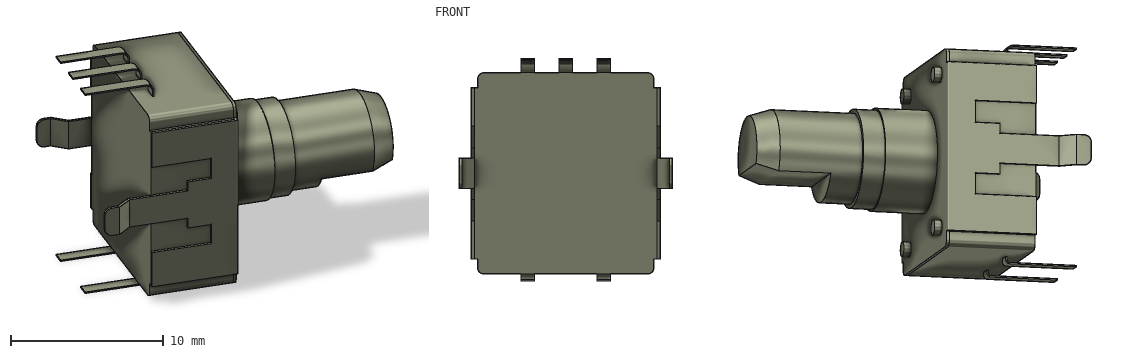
import cadquery as cq
import math


overall_length = 21.5

block_width = 12.0
end_width = 11.57
block_height = 13.2
block_corner_radius = 0.4
front_y = 6.0

sheet = 0.2
bend_radius = 0.099
strap_height = 11.25
strap_width = block_width + 2 * sheet
window_height = 6.24
window_depth = 4.15
window_root_top = 1.65
window_root_bottom = 1.72
root_depth = 2.5
leg_width = 2.0
leg_span = 14.0
leg_bend_start_y = -1.53
leg_bend_end_y = -2.5
leg_tip_radius = 0.5

base_radius = 3.4
base_end_y = 9.5
collar_radius = 3.27
collar_end_y = 10.96
shaft_radius = 2.99
shaft_end_y = 18.0
flat_start_y = 13.0
flat_offset = 1.5
tip_length = 1.46
tip_inset = 0.47

post_radius = 0.5
post_spacing_x = 8.21
post_spacing_z = 10.2
post_end_y = 6.5

pin_end_y = shaft_end_y - overall_length
pin_width = 0.9
pin_thickness = 0.099
pin_pitch = 2.5
pin_embedding = 0.22
pin_front_y = 1.27
upper_pin_top = 7.52
lower_pin_bottom = 7.07
upper_pin_bend = 0.55
lower_pin_bend = 0.25

plate_back_y = front_y - sheet


def bar(x_size, z_size, y_start, y_end, z_center=0):
    """Box centred on x = 0 that runs from y_start to y_end."""
    return (
        cq.Workplane("XY")
        .box(x_size, y_end - y_start, z_size)
        .translate((0, (y_start + y_end) / 2, z_center))
    )


def cylinder(radius, y_start, y_end, x=0, z=0):
    """Cylinder along Y."""
    axis_start = cq.Vector(x, y_start, z)
    return cq.Workplane(cq.Solid.makeCylinder(radius, y_end - y_start, axis_start, cq.Vector(0, 1, 0)))


def rounded_end_block(y_start, y_end):
    """Full-height block with rounded corners, as wide as the housing ends."""
    return bar(end_width, block_height, y_start, y_end).edges("|Y").fillet(block_corner_radius)


def make_posts(y_start):
    """Four locating posts in a rectangle round the shaft."""
    posts = cq.Workplane("XY")
    for x in (-post_spacing_x / 2, post_spacing_x / 2):
        for z in (-post_spacing_z / 2, post_spacing_z / 2):
            posts = posts.add(cylinder(post_radius, y_start, post_end_y, x, z))
    return posts.combine()


def make_shaft_tip():
    """Tip that narrows on its round side and on its flat alike."""
    tip_taper = math.degrees(math.atan(tip_inset / tip_length))
    flat_half_width = math.sqrt(shaft_radius**2 - flat_offset**2)
    tip_plane = cq.Plane(origin=(0, shaft_end_y - tip_length, 0), xDir=(-1, 0, 0), normal=(0, 1, 0))
    return (
        cq.Workplane(tip_plane)
        .moveTo(-flat_half_width, -flat_offset)
        .threePointArc((0, shaft_radius), (flat_half_width, -flat_offset))
        .close()
        .extrude(tip_length, taper=tip_taper)
    )


def make_shaft(y_start):
    """Base, collar and shaft with a flat on its lower side."""
    tip_start_y = shaft_end_y - tip_length
    flat_cut_height = shaft_radius
    flat_cut = bar(
        2 * shaft_radius, flat_cut_height, flat_start_y, tip_start_y, -flat_offset - flat_cut_height / 2
    )
    shaft = cylinder(shaft_radius, y_start, tip_start_y).cut(flat_cut)
    shaft = shaft.union(cylinder(base_radius, y_start, base_end_y))
    shaft = shaft.union(cylinder(collar_radius, y_start, collar_end_y))
    return shaft.union(make_shaft_tip())


def make_pin(x, z_outer, bend, side):
    """Bent flat pin; side is +1 for the upper face of the block and -1 for the lower."""
    z_root = block_height / 2 - pin_embedding
    pin_back_y = pin_front_y - pin_thickness
    pin = (
        cq.Workplane("YZ")
        .moveTo(pin_front_y, side * z_root)
        .lineTo(pin_front_y, side * z_outer)
        .lineTo(pin_end_y, side * z_outer)
        .lineTo(pin_end_y, side * (z_outer - pin_thickness))
        .lineTo(pin_back_y, side * (z_outer - pin_thickness))
        .lineTo(pin_back_y, side * z_root)
        .close()
        .extrude(pin_width / 2, both=True)
    )
    outer_corner = cq.selectors.NearestToPointSelector((0, pin_front_y, side * z_outer))
    inner_corner = cq.selectors.NearestToPointSelector((0, pin_back_y, side * (z_outer - pin_thickness)))
    pin = pin.edges("|X").edges(outer_corner).fillet(bend)
    pin = pin.edges("|X").edges(inner_corner).fillet(bend - pin_thickness)
    return pin.translate((x, 0, 0))


def make_housing():
    """Block with the shaft, locating posts and solder pins."""
    housing = rounded_end_block(0, plate_back_y)
    housing = housing.union(bar(block_width, strap_height, 0, plate_back_y))
    for x in (-pin_pitch, 0, pin_pitch):
        housing = housing.union(make_pin(x, upper_pin_top, upper_pin_bend, 1))
    for x in (-pin_pitch, pin_pitch):
        housing = housing.union(make_pin(x, lower_pin_bottom, lower_pin_bend, -1))
    return housing.union(make_posts(plate_back_y)).union(make_shaft(plate_back_y))


def make_window(side):
    """Stepped window cut through both straps, above (+1) or below (-1) the leg."""
    root_edge = window_root_top if side > 0 else window_root_bottom
    return (
        cq.Workplane("YZ")
        .moveTo(0, side * leg_width / 2)
        .lineTo(root_depth, side * leg_width / 2)
        .lineTo(root_depth, side * root_edge)
        .lineTo(window_depth, side * root_edge)
        .lineTo(window_depth, side * window_height / 2)
        .lineTo(0, side * window_height / 2)
        .close()
        .extrude(strap_width, both=True)
    )


def make_leg(side):
    """Cranked mounting leg on the right (+1) or left (-1) strap."""
    strap_outer = strap_width / 2
    tip_outer = leg_span / 2
    crank_angle = math.atan2(leg_bend_start_y - leg_bend_end_y, tip_outer - strap_outer)
    inner_shift = sheet * math.tan((math.pi / 2 - crank_angle) / 2)
    leg = (
        cq.Workplane("XY")
        .moveTo(side * strap_outer, 0)
        .lineTo(side * strap_outer, leg_bend_start_y)
        .lineTo(side * tip_outer, leg_bend_end_y)
        .lineTo(side * tip_outer, pin_end_y)
        .lineTo(side * (tip_outer - sheet), pin_end_y)
        .lineTo(side * (tip_outer - sheet), leg_bend_end_y - inner_shift)
        .lineTo(side * (strap_outer - sheet), leg_bend_start_y - inner_shift)
        .lineTo(side * (strap_outer - sheet), 0)
        .close()
        .extrude(leg_width / 2, both=True)
    )
    return leg.faces("<Y").edges("|X").fillet(leg_tip_radius)


def make_bracket():
    """Front plate with two folded side straps and their mounting legs."""
    bracket = bar(strap_width, strap_height, 0, front_y).edges("|Z and >Y").fillet(bend_radius)
    bracket = bracket.cut(bar(block_width, strap_height, 0, plate_back_y))
    bracket = bracket.union(rounded_end_block(plate_back_y, front_y))
    for side in (-1, 1):
        bracket = bracket.cut(make_window(side))
    for side in (-1, 1):
        bracket = bracket.union(make_leg(side))
    bracket = bracket.cut(cylinder(base_radius, plate_back_y, front_y))
    return bracket.cut(make_posts(plate_back_y))


housing = make_housing()
bracket = make_bracket()

result = cq.Compound.makeCompound([*housing.solids().vals(), *bracket.solids().vals()])